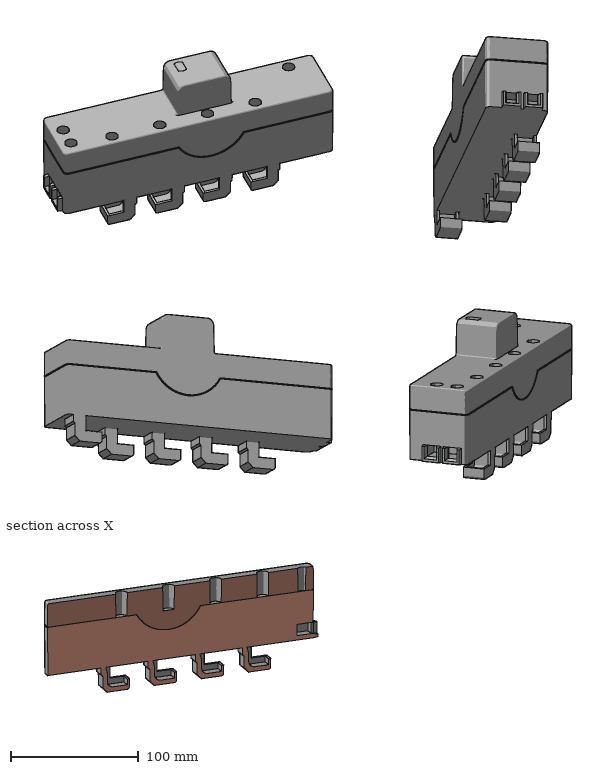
import cadquery as cq
import math

OVERALL_WIDTH = 50.3
OVERALL_LENGTH = 229.8
SOCKET_REACH = 3.7
CASE_LENGTH = OVERALL_LENGTH - SOCKET_REACH
CASE_CORNER_RADIUS = 4.0
BASE_BOTTOM_Z = 21.0
SEAM_Z = 61.5
COVER_TOP_Z = 81.0
TOWER_TOP_Z = 109.1
BASE_DRAFT = 0.5
COVER_DRAFT = 0.5
COVER_SLOPE = math.tan(math.radians(COVER_DRAFT))

GROOVE_HEIGHT = 0.7
GROOVE_DEPTH = 0.7
MIDDLE_Y = 10.0
LOBE_RADIUS = 30.5
LOBE_DROP = 16.0
LOBE_CENTRE_Z = SEAM_Z - LOBE_DROP + LOBE_RADIUS
CASE_WIDTH = OVERALL_WIDTH - 2 * LOBE_DROP * COVER_SLOPE

TOWER_RIGHT_X = 10.3
TOWER_LENGTH = 45.0
TOWER_DRAFT = 1.0
TOWER_CROWN_RADIUS = 5.7
EDGE_RADIUS = 1.4

WINDOW_X = -14.0
WINDOW_Y = -1.4
WINDOW_DIAMETER = 11.7
WINDOW_FLAT_WIDTH = 7.0
WINDOW_THICKNESS = 4.5

HOOK_WIDTH = 17.5
HOOK_PITCH = 40.0
HOOK_ROOT_RADIUS = 1.0
HOOK_TIP_Y = -7.0
HOOK_THROAT_Y = 7.0
HOOK_THROAT_Z = 9.0
HOOK_BACK_Y = 16.0
HOOK_HEEL_SIZE = 4.1
HOOK_TIP_RADIUS = 2.0
HOOK_STEP = 1.4
HOOK_STEP_LOW_Z = 14.0
HOOK_STEP_HIGH_Z = 15.5
POCKET_WIDTH = 13.0
POCKET_FLOOR_Z = 4.1
POCKET_DEPTH = 4.8
POCKET_TIP_WALL = 2.0
POCKET_BEND_Z = 15.9

SOCKET_XS = (-4.8, 12.5)
SOCKET_WIDTH = 15.2
SOCKET_TOP_Z = 34.0
SOCKET_DRAFT = 8.0
SOCKET_ROOT = 2.3
FUNNEL_WIDTH = 10.5
FUNNEL_FLOOR_Z = 23.7
FUNNEL_NARROWING = 1.4
WIRE_FLOOR_Z = FUNNEL_FLOOR_Z + FUNNEL_NARROWING
WIRE_HOLE_WIDTH = FUNNEL_WIDTH - 2 * FUNNEL_NARROWING
END_WALL = 2.3
CHAMBER_DEPTH = 11.5
CHAMBER_SIDE_WALL = 2.3

ACCESS_DIAMETER = 9.6
ACCESS_DRAFT = 1.0
SOCKET_SCREW_Y = -103.0

BOTTOM_HALF_WIDTH = CASE_WIDTH / 2 - (SEAM_Z - BASE_BOTTOM_Z) * math.tan(math.radians(BASE_DRAFT))
HOOK_CENTRE_X = BOTTOM_HALF_WIDTH - HOOK_WIDTH / 2
HOOKS_EACH_WAY = 2
HOOK_PLACES = [
    (-1 if step == HOOKS_EACH_WAY else 1, MIDDLE_Y + step * HOOK_PITCH)
    for step in range(-HOOKS_EACH_WAY, HOOKS_EACH_WAY + 1)
]


def drafted_block(height, draft, upward):
    """Block of the case outline from the seam up or down; it narrows unless the draft is negative."""
    plane = cq.Workplane("XY", origin=(0, 0, SEAM_Z)).workplane(invert=not upward)
    outline = plane.sketch().rect(CASE_WIDTH, CASE_LENGTH).vertices().fillet(CASE_CORNER_RADIUS).finalize()
    return outline.extrude(height, taper=draft)


def cross_cylinder(radius):
    """Cylinder along X, across the whole case, around the centre of the lobe."""
    axis_plane = cq.Workplane("YZ", origin=(0, MIDDLE_Y, LOBE_CENTRE_Z))
    return axis_plane.circle(radius).extrude(CASE_WIDTH, both=True)


def seam_groove():
    """Shallow groove around the case, just under the edge of the cover and its lobe."""
    below_seam = cq.Workplane("XY", origin=(0, 0, SEAM_Z)).box(
        2 * CASE_WIDTH, 2 * CASE_LENGTH, 2 * LOBE_RADIUS, centered=(True, True, False)
    ).translate((0, 0, -2 * LOBE_RADIUS))
    under_lobe = cross_cylinder(LOBE_RADIUS + GROOVE_HEIGHT).intersect(below_seam)
    under_edge = cq.Workplane("XY", origin=(0, 0, SEAM_Z - GROOVE_HEIGHT / 2)).box(
        2 * CASE_WIDTH, 2 * CASE_LENGTH, GROOVE_HEIGHT
    )
    core = cq.Workplane("XY", origin=(0, 0, SEAM_Z)).box(
        CASE_WIDTH - 2 * GROOVE_DEPTH, CASE_LENGTH - 2 * GROOVE_DEPTH, 4 * LOBE_RADIUS
    ).edges("|Z").fillet(CASE_CORNER_RADIUS - GROOVE_DEPTH)
    return under_edge.union(under_lobe).cut(core)


def hook(side, y):
    """L-shaped hook with a screw pocket in its throat; its outer side continues the case side."""
    step_y = HOOK_BACK_Y + HOOK_STEP
    body = (
        cq.Workplane("YZ", origin=(side * HOOK_CENTRE_X, y, 0))
        .moveTo(HOOK_TIP_Y, 0)
        .lineTo(HOOK_BACK_Y, 0)
        .lineTo(HOOK_BACK_Y, HOOK_STEP_LOW_Z)
        .lineTo(step_y, HOOK_STEP_HIGH_Z)
        .lineTo(step_y, BASE_BOTTOM_Z)
        .lineTo(HOOK_THROAT_Y, BASE_BOTTOM_Z)
        .lineTo(HOOK_THROAT_Y, HOOK_THROAT_Z)
        .lineTo(HOOK_TIP_Y, HOOK_THROAT_Z)
        .close()
        .extrude(HOOK_WIDTH / 2, both=True)
    )
    body = body.faces("<Z").edges(">Y").chamfer(HOOK_HEEL_SIZE)
    body = body.faces("<Z").edges("<Y").fillet(HOOK_TIP_RADIUS)
    case_down_to_hooks = drafted_block(SEAM_Z, BASE_DRAFT, upward=False)
    return body.intersect(case_down_to_hooks).cut(hook_pocket(side, y))


def hook_pocket(side, y):
    """Pocket with a rounded rear corner, leaning back into the upright near its top."""
    front_y = HOOK_TIP_Y + POCKET_TIP_WALL
    rear_y = HOOK_THROAT_Y + POCKET_DEPTH
    return (
        cq.Workplane("YZ", origin=(side * HOOK_CENTRE_X, y, 0))
        .moveTo(front_y, POCKET_FLOOR_Z)
        .lineTo(rear_y - POCKET_DEPTH, POCKET_FLOOR_Z)
        .radiusArc((rear_y, POCKET_FLOOR_Z + POCKET_DEPTH), -POCKET_DEPTH)
        .lineTo(rear_y, POCKET_BEND_Z)
        .lineTo(rear_y + HOOK_STEP, BASE_BOTTOM_Z)
        .lineTo(front_y, BASE_BOTTOM_Z)
        .close()
        .extrude(POCKET_WIDTH / 2, both=True)
    )


def round_hook_root(base, side, y):
    """Small fillet where the inner side of a hook meets the underside."""
    root_x = side * (BOTTOM_HALF_WIDTH - HOOK_WIDTH)
    root_y = y + (HOOK_THROAT_Y + HOOK_BACK_Y + HOOK_STEP) / 2
    root = (root_x, root_y, BASE_BOTTOM_Z)
    return base.edges("|Y").edges(cq.NearestToPointSelector(root)).fillet(HOOK_ROOT_RADIUS)


def add_socket(base, x):
    """Drafted socket on the -Y end with an open-topped funnel and a wire hole."""
    face_y = -CASE_LENGTH / 2
    tip_y = face_y - SOCKET_REACH
    height = SOCKET_TOP_Z - BASE_BOTTOM_Z
    shell = (
        cq.Workplane("XZ", origin=(x, face_y + SOCKET_ROOT, BASE_BOTTOM_Z + height / 2))
        .rect(SOCKET_WIDTH, height)
        .extrude(SOCKET_ROOT)
        .faces("<Y").workplane()
        .rect(SOCKET_WIDTH, height)
        .extrude(SOCKET_REACH, taper=SOCKET_DRAFT)
    )
    funnel_height = SOCKET_TOP_Z + FUNNEL_NARROWING - FUNNEL_FLOOR_Z
    funnel_angle = math.degrees(math.atan2(FUNNEL_NARROWING, SOCKET_REACH))
    funnel = (
        cq.Workplane("XZ", origin=(x, tip_y, FUNNEL_FLOOR_Z + funnel_height / 2))
        .workplane(invert=True)
        .rect(FUNNEL_WIDTH, funnel_height)
        .extrude(SOCKET_REACH, taper=funnel_angle)
    )
    wire_hole = cq.Workplane("XY", origin=(x, face_y, WIRE_FLOOR_Z)).box(
        WIRE_HOLE_WIDTH, 2 * END_WALL, SOCKET_TOP_Z - WIRE_FLOOR_Z, centered=(True, False, False)
    )
    return base.union(shell).cut(funnel).cut(wire_hole)


def wire_chamber():
    """Chamber behind the end wall that both wire holes open into."""
    left_x = SOCKET_XS[0] - WIRE_HOLE_WIDTH / 2
    right_x = BOTTOM_HALF_WIDTH - CHAMBER_SIDE_WALL
    return cq.Workplane("XY", origin=(left_x, END_WALL - CASE_LENGTH / 2, WIRE_FLOOR_Z)).box(
        right_x - left_x, CHAMBER_DEPTH, SOCKET_TOP_Z - WIRE_FLOOR_Z, centered=False
    )


def make_base():
    """Lower half of the case with its hooks and cable sockets."""
    base = drafted_block(SEAM_Z - BASE_BOTTOM_Z, BASE_DRAFT, upward=False)
    base = base.cut(cross_cylinder(LOBE_RADIUS)).cut(seam_groove())
    for side, y in HOOK_PLACES:
        base = base.union(hook(side, y))
        base = round_hook_root(base, side, y)
    for x in SOCKET_XS:
        base = add_socket(base, x)
    return base.cut(wire_chamber())


def make_tower():
    """Tower whose -X side continues the drafted side of the cover."""
    tower = (
        cq.Workplane("XY", origin=(TOWER_RIGHT_X - CASE_WIDTH / 2, MIDDLE_Y, COVER_TOP_Z))
        .rect(CASE_WIDTH, TOWER_LENGTH)
        .extrude(TOWER_TOP_Z - COVER_TOP_Z, taper=TOWER_DRAFT)
    )
    tower = tower.intersect(drafted_block(TOWER_TOP_Z - SEAM_Z, COVER_DRAFT, upward=True))
    return tower.faces(">Z").edges("|X").fillet(TOWER_CROWN_RADIUS)


def access_holes():
    """Tapered screw holes through the cover: one above each hook and each socket."""
    places = [(side * HOOK_CENTRE_X, y) for side, y in HOOK_PLACES]
    places += [(x, SOCKET_SCREW_Y) for x in SOCKET_XS]
    return (
        cq.Workplane("XY", origin=(0, 0, COVER_TOP_Z))
        .workplane(invert=True)
        .pushPoints([(x, -y) for x, y in places])
        .circle(ACCESS_DIAMETER / 2)
        .extrude(COVER_TOP_Z - SEAM_Z, taper=ACCESS_DRAFT)
    )


def make_window():
    """Light window: a disc with two flats, flush with the tower top."""
    plane = cq.Workplane("XY", origin=(WINDOW_X, WINDOW_Y, TOWER_TOP_Z - WINDOW_THICKNESS))
    disc = plane.circle(WINDOW_DIAMETER / 2).extrude(WINDOW_THICKNESS)
    flats = plane.rect(WINDOW_DIAMETER, WINDOW_FLAT_WIDTH).extrude(WINDOW_THICKNESS)
    return disc.intersect(flats)


def make_cover(window):
    """Upper half of the case with its tower, lobe and screw holes, recessed for the window."""
    cover = drafted_block(COVER_TOP_Z - SEAM_Z, COVER_DRAFT, upward=True).union(make_tower())
    for end in (-1, 1):
        tower_foot = (0, MIDDLE_Y + end * TOWER_LENGTH / 2, COVER_TOP_Z)
        cover = cover.edges(cq.NearestToPointSelector(tower_foot)).fillet(EDGE_RADIUS)
    cover = cover.faces(">Z").edges("|Y").fillet(EDGE_RADIUS)
    widening_block = drafted_block(LOBE_DROP, -COVER_DRAFT, upward=False)
    lobe = widening_block.intersect(cross_cylinder(LOBE_RADIUS))
    return cover.union(lobe).cut(access_holes()).cut(window)


base = make_base()
window = make_window()
cover = make_cover(window)
result = cq.Compound.makeCompound([base.val(), cover.val(), window.val()])